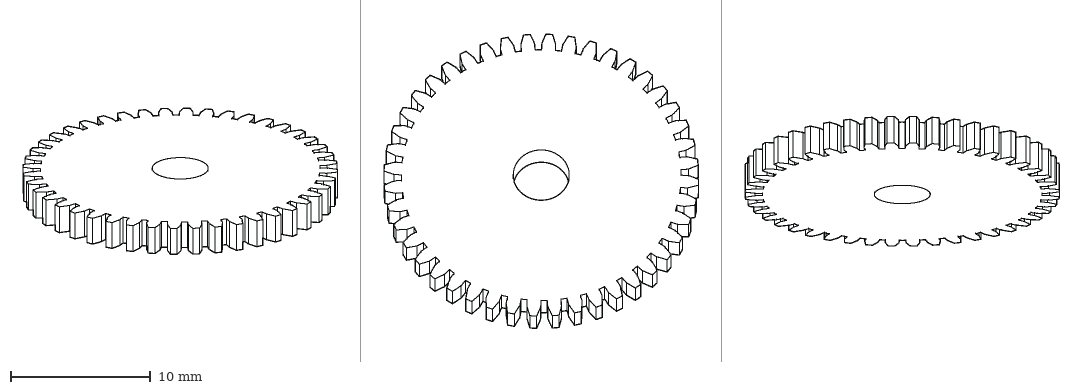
import cadquery as cq

tooth_count = 44
tip_diameter = 22.5
root_diameter = 20.0
thickness = 2.0
bore_diameter = 4.0

tooth_base_width = 1.0
tooth_tip_width = 0.5
taper_start_radius = 10.5

tip_radius = tip_diameter / 2
root_radius = root_diameter / 2
tooth_overlap = 0.22


def make_disc():
    """Plain round body of the gear, up to the tooth roots."""
    return cq.Workplane("XY").circle(root_radius).extrude(thickness)


def make_tooth():
    """One tooth pointing along +X, symmetric about the X axis."""
    inner_radius = root_radius - tooth_overlap
    half_base = tooth_base_width / 2
    half_tip = tooth_tip_width / 2
    outline = [
        (inner_radius, -half_base),
        (taper_start_radius, -half_base),
        (tip_radius, -half_tip),
        (tip_radius, half_tip),
        (taper_start_radius, half_base),
        (inner_radius, half_base),
    ]
    return cq.Workplane("XY").polyline(outline).close().extrude(thickness)


def make_bore():
    """Round hole through the centre."""
    return cq.Workplane("XY").circle(bore_diameter / 2).extrude(thickness)


tooth = make_tooth()
tooth_pitch_angle = 360 / tooth_count

gear = make_disc()
for index in range(tooth_count):
    gear = gear.union(tooth.rotate((0, 0, 0), (0, 0, 1), index * tooth_pitch_angle))

result = gear.cut(make_bore())